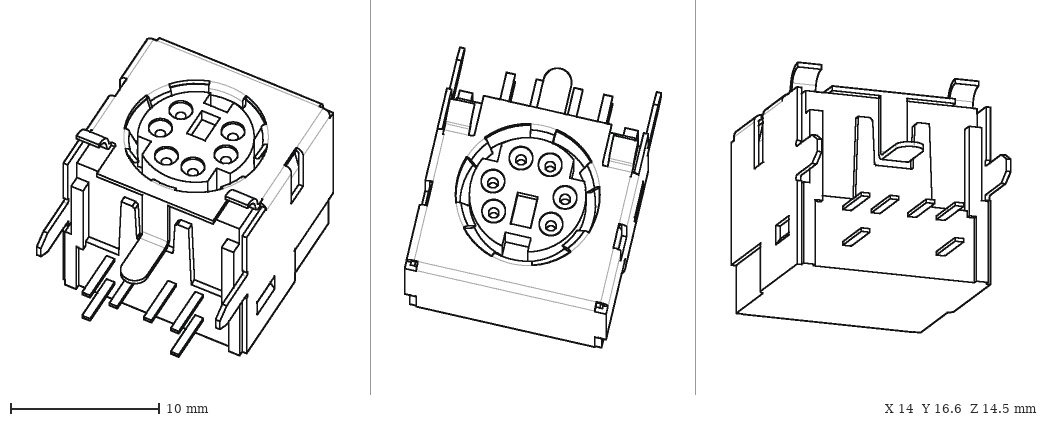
import cadquery as cq
import math


width = 13.98
half_width = width / 2
back_y = 6.69
shell_front_y = -5.98
tip_y = back_y - 16.56
top_z = 12.8
sheet = 0.33
bend_radius = 0.53
inner_half_width = half_width - sheet
sheet_under_z = top_z - sheet

body_front_y = -6.36
recess_front_y = -5.5
body_back_y = back_y - sheet
body_top_z = sheet_under_z - 0.05
slot_half_width = 6.2
slot_floor_z = 5.71

corner_relief_z = 12.0
bend_front_y = -3.1
corner_notch_half_width = 4.44
notch_corner_radius = 0.18
window_back_y = 2.27
window_front_y = 0.56
window_floor_z = 8.96
wedge_bend_z = 10.88
wedge_top_half_width = 6.3
latch_back_y = -1.87
latch_front_y = -4.42
latch_floor_z = 2.47
latch_ramp_top_z = 2.91
latch_top_z = 3.83
rear_corner_z = 3.38
rear_corner_front_y = 0.96
rear_corner_inset = 0.07
lug_bottom_z = 6.3
lug_top_z = 8.31
lug_taper_y = -8.88
lug_tip_bottom_z = 6.87
lug_tip_top_z = 7.73
lug_relief_radius = 0.2

tongue_width = 1.92
tongue_tip_radius = 0.95
tongue_top_z = 8.25
tongue_bend = 0.33
clip_inner_x = 4.82
clip_outer_x = 6.52
clip_tip_y = -4.93
clip_top_z = 14.54
clip_radius = 1.42
clip_lean = 76.0
clip_foot_top_radius = 0.38
clip_foot_under_radius = 0.43

column_inner_x = 5.28
column_foot_x = 5.81
column_top_z = 10.85
column_foot_z = 4.55
recess_floor_z = 5.0
arm_outer_foot_x = 2.77
arm_outer_top_x = 2.57
arm_inner_top_x = 1.72
arm_chamfer = 0.2
tongue_gap_x = 1.39
tongue_gap_z = 7.53
tongue_gap_chamfer = 0.1

pin_width = 0.61
pin_thickness = 0.25
pin_tip_y = -9.55
pin_root_y = -4.97
outer_pin_x = 3.38
inner_pin_x = 1.3
upper_pin_z = 4.29
lower_pin_z = 1.79

mouth_radius = 4.89
cavity_floor_radius = 4.59
cavity_depth = 3.31
plug_radius = 3.94
plug_top_z = top_z - 0.07
key_notch_width = 1.77
key_notch_y = 2.86
shoulder_x = 2.5
shoulder_y = -1.75
key_hole_width = 1.39
key_hole_front_y = 0.0
key_hole_back_y = 2.2
key_hole_depth = 0.96
contact_positions = [(1.99, 1.6), (2.5, -0.4), (1.01, -2.37)]
contact_mouth_radius = 0.8
contact_hole_radius = 0.35
contact_lip = 0.2
contact_funnel_depth = 0.68
contact_hole_depth = 2.32
tab_roll_radius = 0.35
tab_height = 1.03
spring_tip_radius = 3.95
spring_height = 1.65
spring_half_angle = 10.6
spring_angles = [30, 150, 210, 270, 330]
top_tab_half_angle = 16.6

margin = 0.83


def block(x0, x1, y0, y1, z0, z1):
    return cq.Workplane("XY").box(x1 - x0, y1 - y0, z1 - z0, centered=False).translate((x0, y0, z0))


def both_sides(shape):
    return shape.union(shape.mirror("YZ"))


def side_profile(outline, x0, x1):
    """Extrude a (y, z) workplane outline from x0 to x1."""
    return outline.close().extrude(x1 - x0).translate((x0, 0, 0))


def front_profile(points, y0, y1):
    """Extrude (x, z) points from y0 back to y1."""
    return cq.Workplane("XZ").polyline(points).close().extrude(y0 - y1).translate((0, y0, 0))


def make_shell():
    outer = block(-half_width, half_width, shell_front_y, back_y, 0, top_z)
    outer = outer.faces(">Z").edges("not <Y").fillet(bend_radius)
    inner = block(-inner_half_width, inner_half_width, shell_front_y - margin, back_y - sheet,
                  -margin, sheet_under_z)
    inner = inner.faces(">Z").edges("not <Y").fillet(bend_radius - sheet)
    shell = outer.cut(inner)

    flat_front = block(inner_half_width, half_width, shell_front_y, bend_front_y, 0, sheet_under_z)
    corner_relief = block(slot_half_width, half_width + margin, back_y - bend_radius, back_y + margin,
                          corner_relief_z, top_z + margin)
    clip_notch = block(corner_notch_half_width, half_width + margin, shell_front_y - margin, bend_front_y,
                       corner_relief_z, top_z + margin)
    clip_notch = clip_notch.edges("|Z and >Y and <X").fillet(notch_corner_radius)
    window = block(half_width - bend_radius, half_width + margin, window_front_y, window_back_y,
                   window_floor_z, top_z + margin)
    latch_window = block(inner_half_width, half_width + margin, latch_front_y, latch_back_y,
                         latch_floor_z, latch_top_z)
    shell = shell.cut(both_sides(clip_notch)).union(both_sides(flat_front))
    return shell.cut(both_sides(corner_relief.union(window).union(latch_window)))


def make_rear_corner_cut():
    """Space at the low rear corner, where the side sheet ends in an inward bend."""
    bend_center_x = half_width - bend_radius
    bend_run = math.sqrt(bend_radius**2 - (inner_half_width - bend_center_x)**2)
    bend_end_y = rear_corner_front_y + bend_run
    mid_angle = math.atan2(bend_run, bend_radius) / 2
    corner = (
        cq.Workplane("XY")
        .moveTo(half_width, rear_corner_front_y)
        .threePointArc(
            (bend_center_x + bend_radius * math.cos(mid_angle),
             rear_corner_front_y + bend_radius * math.sin(mid_angle)),
            (inner_half_width, bend_end_y),
        )
        .lineTo(inner_half_width, back_y + margin)
        .lineTo(half_width + margin, back_y + margin)
        .lineTo(half_width + margin, rear_corner_front_y)
        .close()
        .extrude(rear_corner_z)
    )
    back_inset = block(slot_half_width, half_width, back_y - rear_corner_inset, back_y + margin,
                       0, rear_corner_z)
    return both_sides(corner.union(back_inset))


def make_lugs():
    outline = cq.Workplane("YZ").polyline([
        (shell_front_y + sheet, lug_bottom_z),
        (lug_taper_y, lug_bottom_z),
        (tip_y, lug_tip_bottom_z),
        (tip_y, lug_tip_top_z),
        (lug_taper_y, lug_top_z),
        (shell_front_y + sheet, lug_top_z),
    ])
    return both_sides(side_profile(outline, inner_half_width, half_width))


def make_lug_reliefs():
    reliefs = (
        cq.Workplane("YZ")
        .pushPoints([(shell_front_y, lug_top_z + lug_relief_radius),
                     (shell_front_y, lug_bottom_z - lug_relief_radius)])
        .circle(lug_relief_radius)
        .extrude(sheet)
        .translate((inner_half_width, 0, 0))
    )
    return both_sides(reliefs)


def make_tongue():
    back = shell_front_y + sheet
    under_z = tongue_top_z - sheet
    outer_bend = tongue_bend + sheet
    outline = (
        cq.Workplane("YZ")
        .moveTo(back, sheet_under_z)
        .lineTo(shell_front_y, sheet_under_z)
        .lineTo(shell_front_y, tongue_top_z + tongue_bend)
        .radiusArc((shell_front_y - tongue_bend, tongue_top_z), tongue_bend)
        .lineTo(tip_y, tongue_top_z)
        .lineTo(tip_y, under_z)
        .lineTo(back - outer_bend, under_z)
        .radiusArc((back, under_z + outer_bend), -outer_bend)
    )
    tongue = side_profile(outline, -tongue_width / 2, tongue_width / 2)
    return tongue.edges("|Z and <Y").fillet(tongue_tip_radius)


def clip_foot(leg_point, sheet_z, radius):
    """Ends of the arc that blends a horizontal sheet face into the leaning clip leg."""
    lean = math.radians(clip_lean)
    corner_y = leg_point[0] + (leg_point[1] - sheet_z) / math.tan(lean)
    reach = radius * math.tan(lean / 2)
    on_sheet = (corner_y + reach, sheet_z)
    on_leg = (corner_y - reach * math.cos(lean), sheet_z + reach * math.sin(lean))
    return on_sheet, on_leg


def make_clips():
    """Spring fingers that rise from the top sheet and curl forward."""
    lean = math.radians(clip_lean)
    inner_radius = clip_radius - sheet
    center_z = clip_top_z - clip_radius
    back_leg = (clip_tip_y + clip_radius * math.sin(lean), center_z + clip_radius * math.cos(lean))
    front_leg = (clip_tip_y + inner_radius * math.sin(lean), center_z + inner_radius * math.cos(lean))
    top_start, top_end = clip_foot(back_leg, top_z, clip_foot_top_radius)
    under_start, under_end = clip_foot(front_leg, sheet_under_z, clip_foot_under_radius)
    outline = (
        cq.Workplane("YZ")
        .moveTo(*top_start)
        .radiusArc(top_end, clip_foot_top_radius)
        .lineTo(*back_leg)
        .radiusArc((clip_tip_y, clip_top_z), -clip_radius)
        .lineTo(clip_tip_y, clip_top_z - sheet)
        .radiusArc(front_leg, inner_radius)
        .lineTo(*under_end)
        .radiusArc(under_start, -clip_foot_under_radius)
        .lineTo(bend_front_y + sheet, sheet_under_z)
        .lineTo(bend_front_y + sheet, top_z)
    )
    return both_sides(side_profile(outline, clip_inner_x, clip_outer_x))


def make_body():
    body = block(-inner_half_width, inner_half_width, body_front_y, body_back_y, 0, slot_floor_z)
    upper = block(-slot_half_width, slot_half_width, body_front_y, body_back_y, slot_floor_z, body_top_z)
    rear_gap = block(-half_width, half_width, back_y - bend_radius, back_y, corner_relief_z, top_z)
    rear_corner = block(slot_half_width - sheet, inner_half_width, body_back_y - sheet,
                        back_y - rear_corner_inset, 0, rear_corner_z)
    body = body.union(upper).cut(rear_gap).union(both_sides(rear_corner))

    wedge = front_profile([
        (slot_half_width - sheet, slot_floor_z),
        (inner_half_width, slot_floor_z),
        (inner_half_width, wedge_bend_z),
        (wedge_top_half_width, body_top_z),
        (slot_half_width - sheet, body_top_z),
    ], window_front_y, window_back_y)
    catch = front_profile([
        (inner_half_width, latch_floor_z),
        (half_width, latch_floor_z),
        (inner_half_width, latch_ramp_top_z),
    ], latch_front_y, latch_back_y)
    body = body.union(both_sides(wedge.union(catch)))
    return body.cut(make_front_relief()).union(make_front_pad())


def make_front_relief():
    """Everything in front of the recess, between and above the two columns."""
    front = body_front_y - margin
    between = block(-column_inner_x, column_inner_x, front, recess_front_y, -margin, top_z)
    feet = block(-column_foot_x, column_foot_x, front, shell_front_y, -margin, column_foot_z)
    above = block(-half_width, half_width, front, recess_front_y, column_top_z, top_z)
    return between.union(feet).union(above)


def make_front_pad():
    """Raised face with two tapered arms that flank the tongue."""
    right_edge = [
        (column_inner_x, 0),
        (column_inner_x, recess_floor_z),
        (arm_outer_foot_x, recess_floor_z),
        (arm_outer_top_x, column_top_z),
        (arm_inner_top_x, column_top_z),
        (arm_inner_top_x - arm_chamfer, column_top_z - arm_chamfer),
        (tongue_gap_x, tongue_gap_z + tongue_gap_chamfer),
        (tongue_gap_x - tongue_gap_chamfer, tongue_gap_z),
    ]
    left_edge = [(-x, z) for x, z in reversed(right_edge)]
    return front_profile(right_edge + left_edge, shell_front_y, recess_front_y)


def make_pins():
    pins = cq.Workplane("XY")
    for x, z in [(outer_pin_x, upper_pin_z), (inner_pin_x, upper_pin_z), (outer_pin_x, lower_pin_z)]:
        pin = block(x - pin_width / 2, x + pin_width / 2, pin_tip_y, pin_root_y,
                    z - pin_thickness / 2, z + pin_thickness / 2)
        pins = pins.union(both_sides(pin))
    return pins


def make_cavity():
    """Tapered round well of the socket."""
    return (
        cq.Workplane("XY", origin=(0, 0, top_z - cavity_depth))
        .circle(cavity_floor_radius)
        .workplane(offset=cavity_depth)
        .circle(mouth_radius)
        .loft()
    )


def make_plug():
    floor_z = top_z - cavity_depth
    plug = cq.Workplane("XY", origin=(0, 0, floor_z)).circle(plug_radius).extrude(plug_top_z - floor_z)
    key_notch = block(-key_notch_width / 2, key_notch_width / 2, key_notch_y, mouth_radius, floor_z, top_z)
    shoulder = block(shoulder_x, mouth_radius, -mouth_radius, shoulder_y, floor_z, top_z)
    return plug.cut(key_notch).cut(both_sides(shoulder))


def make_socket_holes():
    """Key hole and six funnel-mouthed contact holes."""
    holes = block(-key_hole_width / 2, key_hole_width / 2, key_hole_front_y, key_hole_back_y,
                  plug_top_z - key_hole_depth, top_z)
    contact = (
        cq.Workplane("XZ")
        .polyline([
            (0, 0),
            (contact_mouth_radius, 0),
            (contact_mouth_radius, -contact_lip),
            (contact_hole_radius, -contact_funnel_depth),
            (contact_hole_radius, -contact_hole_depth),
            (0, -contact_hole_depth),
        ])
        .close()
        .revolve(360, (0, 0), (0, 1))
    )
    for x, y in contact_positions:
        holes = holes.union(both_sides(contact.translate((x, y, plug_top_z))))
    return holes


def make_tab(angle, half_angle, tip_radius, height):
    """Sheet tab rolled down from the mouth edge, centred on the given angle about Z."""
    roll_z = top_z - tab_roll_radius
    roll_inner_radius = mouth_radius - tab_roll_radius
    under_radius = tab_roll_radius - sheet
    rim = mouth_radius + sheet
    tip_z = top_z - height
    tab = (
        cq.Workplane("XZ")
        .moveTo(rim, top_z)
        .lineTo(mouth_radius, top_z)
        .radiusArc((roll_inner_radius, roll_z), -tab_roll_radius)
        .lineTo(tip_radius, tip_z)
        .lineTo(tip_radius + sheet, tip_z)
        .lineTo(roll_inner_radius + sheet, roll_z)
        .radiusArc((mouth_radius, roll_z + under_radius), under_radius)
        .lineTo(rim, sheet_under_z)
        .close()
        .revolve(2 * half_angle, (0, 0), (0, 1))
    )
    return tab.rotate((0, 0, 0), (0, 0, 1), angle - half_angle)


def make_tabs():
    tabs = make_tab(90, top_tab_half_angle, mouth_radius - tab_roll_radius, tab_height)
    for angle in spring_angles:
        tabs = tabs.union(make_tab(angle, spring_half_angle, spring_tip_radius, spring_height))
    return tabs


shell = make_shell().union(make_lugs()).union(make_tongue()).union(make_clips())
shell = shell.cut(make_lug_reliefs()).cut(make_rear_corner_cut())
result = (
    make_body()
    .union(shell)
    .union(make_pins())
    .cut(make_cavity())
    .union(make_plug())
    .cut(make_socket_holes())
    .union(make_tabs())
)